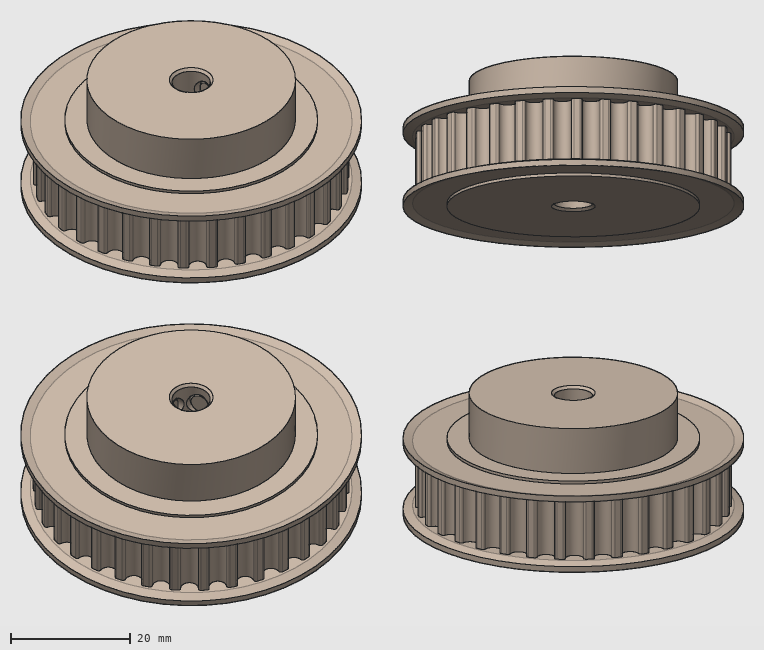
import cadquery as cq
import math

flange_radius = 28.6
total_height = 21.6
pulley_height = 13.6

flange_thickness = 1.05
flare_rise = 0.5
flare_radius = 27.0

tooth_count = 34
land_radius = 26.5
groove_half_width = 1.5
groove_depth = 2.05
tip_radius = 0.43

shoulder_radius = 21.2
hub_radius = 17.5

bore_radius = 3.2
bore_chamfer = 0.45
screw_radius = 2.1
screw_tip_reach = 3.3
screw_tip_chamfer = 0.4

track_bottom = flare_rise + flange_thickness
track_top = pulley_height - track_bottom
track_width = track_top - track_bottom
screw_level = (pulley_height + total_height) / 2


def cylinder(radius, bottom, height):
    return cq.Workplane("XY").workplane(offset=bottom).circle(radius).extrude(height)


def groove_cutter():
    """One round-bottomed tooth gap on the +Y axis, with rounded tooth tips."""
    tip_x = groove_half_width + tip_radius
    tip_y = math.sqrt((land_radius - tip_radius) ** 2 - tip_x**2)
    land_scale = land_radius / (land_radius - tip_radius)
    land_x = tip_x * land_scale
    land_y = tip_y * land_scale
    wall_angle = math.pi
    land_angle = math.atan2(tip_y, tip_x)
    middle_angle = (wall_angle + land_angle) / 2
    middle_x = tip_x + tip_radius * math.cos(middle_angle)
    middle_y = tip_y + tip_radius * math.sin(middle_angle)
    root_y = land_radius - groove_depth
    arc_y = root_y + groove_half_width
    return (
        cq.Workplane("XY")
        .workplane(offset=track_bottom)
        .moveTo(-land_x, land_y)
        .threePointArc((-middle_x, middle_y), (-groove_half_width, tip_y))
        .lineTo(-groove_half_width, arc_y)
        .threePointArc((0, root_y), (groove_half_width, arc_y))
        .lineTo(groove_half_width, tip_y)
        .threePointArc((middle_x, middle_y), (land_x, land_y))
        .lineTo(land_x, flange_radius)
        .lineTo(-land_x, flange_radius)
        .close()
        .extrude(track_width)
    )


def belt_track():
    """Toothed ring; a gap lies on +Y and the rest follow at equal angles."""
    track = cylinder(land_radius, track_bottom, track_width)
    cutter = groove_cutter()
    for index in range(tooth_count):
        angle = index * 360 / tooth_count
        track = track.cut(cutter.rotate((0, 0, 0), (0, 0, 1), angle))
    return track


def lower_flange():
    """Flat disc whose rim flares down to the bottom of the pulley."""
    return (
        cq.Workplane("XZ")
        .moveTo(0, flare_rise)
        .lineTo(flare_radius, flare_rise)
        .lineTo(flange_radius, 0)
        .lineTo(flange_radius, flange_thickness)
        .lineTo(flare_radius, track_bottom)
        .lineTo(0, track_bottom)
        .close()
        .revolve(360, (0, 0, 0), (0, 1, 0))
    )


def upper_flange():
    return lower_flange().mirror("XY").translate((0, 0, pulley_height))


def bore():
    """Through hole, chamfered at both ends."""
    mouth_radius = bore_radius + bore_chamfer
    return (
        cq.Workplane("XZ")
        .lineTo(mouth_radius, 0)
        .lineTo(bore_radius, bore_chamfer)
        .lineTo(bore_radius, total_height - bore_chamfer)
        .lineTo(mouth_radius, total_height)
        .lineTo(0, total_height)
        .close()
        .revolve(360, (0, 0, 0), (0, 1, 0))
    )


def screw_recess(direction):
    """Radial recess in the bore wall, ending on the chamfered flat tip of a set screw."""
    axis_point = cq.Vector(0, 0, screw_level)
    tip_point = axis_point + direction * screw_tip_reach
    recess_depth = screw_tip_reach + screw_tip_chamfer
    tip_flat_radius = screw_radius - screw_tip_chamfer
    recess = cq.Solid.makeCylinder(screw_radius, recess_depth, axis_point, direction)
    tip = cq.Solid.makeCone(tip_flat_radius, screw_radius, screw_tip_chamfer, tip_point, direction)
    return cq.Workplane(recess.cut(tip))


pulley = belt_track().union(lower_flange()).union(upper_flange())
pulley = pulley.union(cylinder(shoulder_radius, 0, pulley_height))
pulley = pulley.union(cylinder(hub_radius, track_top, total_height - track_top))

pulley = pulley.cut(bore())
for direction in (cq.Vector(1, 0, 0), cq.Vector(0, 1, 0)):
    pulley = pulley.cut(screw_recess(direction))

result = pulley